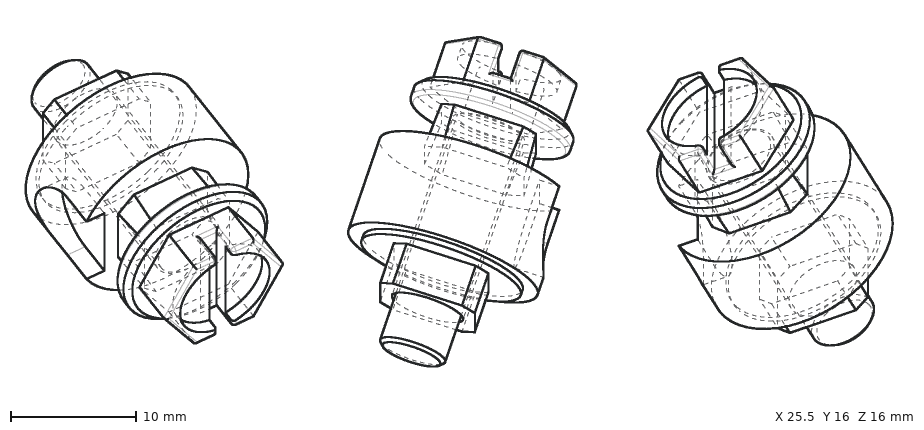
import cadquery as cq


screw_length = 25.5
shank_diameter = 5.5
tip_chamfer = 0.3
flange_start = 19.85
flange_end = 21.47
flange_diameter = 13.46
flange_edge_radius = 0.3
flange_edge_chamfer = 0.5
hex_corner_diameter = 11.1
head_edge_radius = 0.28
slot_width = 1.48
slot_depth = 2.5
recess_diameter = 8.36
recess_depth = 1.15

housing_start = 4.08
boss_start = 7.55
barrel_start = 8.0
barrel_end = 16.0
housing_end = 19.69
barrel_diameter = 16.0
boss_diameter = 13.46
square_width = 7.95
square_corner_chamfer = 1.07
bore_diameter = 6.0
tail_base_width = 8.36
tail_corner_distance = 6.88
pocket_width = 7.15
pocket_start = 9.49
pocket_floor = 5.48


def section(x):
    """Sketch plane square to the axis, with local x along Y and local y along Z."""
    return cq.Workplane("YZ", origin=(x, 0, 0))


def cylinder(start, end, diameter):
    return section(start).circle(diameter / 2).extrude(end - start)


def make_square_end():
    """Square block with chamfered corners in front of the boss."""
    block = section(housing_start).rect(square_width, square_width).extrude(boss_start - housing_start)
    return block.edges("|X").chamfer(square_corner_chamfer)


def make_tail():
    """Square tail that tapers away from the barrel, its corners cut by straight flats."""
    length = housing_end - barrel_end
    taper = (
        section(barrel_end)
        .rect(tail_base_width, tail_base_width)
        .workplane(offset=length)
        .rect(square_width, square_width)
        .loft()
    )
    corner_limit = section(barrel_end).polygon(4, 2 * tail_corner_distance).extrude(length)
    return taper.intersect(corner_limit)


def make_pocket():
    """Round-ended pocket on the -Y side, open at the rear face of the barrel."""
    radius = pocket_width / 2
    arc_center = pocket_start + radius
    return (
        cq.Workplane("XZ", origin=(0, -pocket_floor, 0))
        .moveTo(barrel_end, -radius)
        .lineTo(arc_center, -radius)
        .threePointArc((pocket_start, 0), (arc_center, radius))
        .lineTo(barrel_end, radius)
        .close()
        .extrude(barrel_diameter / 2 - pocket_floor)
    )


def make_housing():
    barrel = cylinder(barrel_start, barrel_end, barrel_diameter).cut(make_pocket())
    boss = cylinder(boss_start, barrel_start, boss_diameter)
    bore = cylinder(housing_start, housing_end, bore_diameter)
    return make_square_end().union(boss).union(barrel).union(make_tail()).cut(bore)


def make_flange():
    flange = cylinder(flange_start, flange_end, flange_diameter)
    flange = flange.faces("<X").edges().fillet(flange_edge_radius)
    return flange.faces(">X").edges().chamfer(flange_edge_chamfer)


def make_slotted_hex():
    """Hexagon with corners on the Y axis, a slot along Z, rounded edges and a round recess in its end."""
    head = section(flange_end).polygon(6, hex_corner_diameter).extrude(screw_length - flange_end)
    slot = cq.Workplane("XY").box(slot_depth, slot_width, hex_corner_diameter, centered=(False, True, True))
    head = head.cut(slot.translate((screw_length - slot_depth, 0, 0)))
    slot_region = cq.selectors.BoxSelector(
        (flange_end + head_edge_radius, -slot_width, -hex_corner_diameter),
        (screw_length + head_edge_radius, slot_width, hex_corner_diameter),
    )
    slot_rims = head.faces("<Z or >Z").edges(slot_region)
    head = slot_rims.add(head.faces(">X").edges()).fillet(head_edge_radius)
    end_recess = cylinder(screw_length - recess_depth, screw_length, recess_diameter)
    return head.cut(end_recess)


def make_screw():
    shank = cylinder(0, flange_start, shank_diameter).faces("<X").chamfer(tip_chamfer)
    return shank.union(make_flange()).union(make_slotted_hex())


housing = make_housing()
screw = make_screw()
result = cq.Compound.makeCompound([housing.val(), screw.val()])